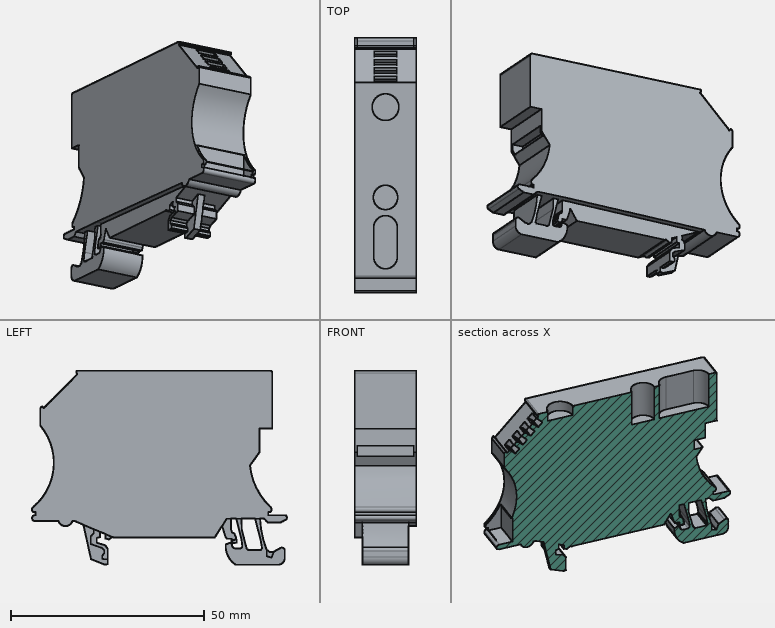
import cadquery as cq


WIDTH = 16.0
LENGTH = 65.96
HEIGHT = 50.25
HALF = WIDTH / 2

FRONT_Y = 3.8
STEP_Y = 7.1
STEP_Z = 35.25
REAR_Y = 63.85
EDGE_R = 0.6
REAR_EDGE_Y = 54.5
REAR_EDGE_R = 0.35
TONGUE_TOP_Z = 12.9
TONGUE_BOTTOM_Z = 10.9
FRONT_BASE_Z = 11.95
REAR_BASE_Z = 11.3
LIP_Z = 14.4
GROOVE_TOP_Z = 13.65
GROOVE_Y = 65.1
LOWER_LIP_R = (TONGUE_TOP_Z - REAR_BASE_Z) / 2
SLOPE_TOP = (54.2, 49.35)
SLOPE_FOOT = (62.95, 40.55)

SEAT_Z = 7.05
SEAT_RIGHT_X = 6.0
SEAT_FRONT_Y, SEAT_REAR_Y = 18.7, 44.8
SEAT_TOP_FRONT_Y, SEAT_TOP_REAR_Y = 15.6, 54.9

FOOT_HALF = 6.0
FOOT_WEB = 1.0
CLIP_HALF = 6.0
CLIP_RIB_HALF = 1.0
HOOK_STEP = 2.0
ROOT_Z = 12.6

SCREW_HOLE_Y, SCREW_HOLE_D, SCREW_HOLE_DEPTH = 48.0, 6.9, 2.8
PLUG_HOLE_Y, PLUG_HOLE_D = 24.65, 6.3
SLOT_FRONT_Y, SLOT_REAR_Y, SLOT_WIDTH = 6.2, 19.95, 6.1
PLUG_DEPTH = 10.0

VENT_COUNT = 4
VENT_PITCH = 3.05
VENT_LENGTH = 5.7
VENT_WIDTH = 1.9
VENT_DEPTH = 2.2
VENT_FLARE, VENT_FLARE_DEPTH = 0.3, 0.7
VENT_OFFSET = 0.05

LABEL_HALF = 7.25
LABEL_DEPTH = 3.0
LABEL_BOTTOM_Z, LABEL_TOP_Z = 28.15, 30.8
LABEL_NOTCH_Y, LABEL_NOTCH_TOP_Z = 61.5, 20.0


def prism(outline, x_from, x_to):
    """Extrude a (y, z) outline or wire sketch along X."""
    if isinstance(outline, list):
        outline = cq.Workplane("YZ").polyline(outline).close()
    return outline.extrude(x_to - x_from).translate((x_from, 0, 0))


def box(x_range, y_range, z_range):
    size = [high - low for low, high in (x_range, y_range, z_range)]
    corner = (x_range[0], y_range[0], z_range[0])
    return cq.Workplane("XY").box(*size, centered=False).translate(corner)


def housing():
    outline = (
        cq.Workplane("YZ")
        .moveTo(FRONT_Y + EDGE_R, HEIGHT)
        .lineTo(REAR_EDGE_Y - REAR_EDGE_R, HEIGHT)
        .radiusArc((REAR_EDGE_Y, HEIGHT - REAR_EDGE_R), REAR_EDGE_R)
        .lineTo(REAR_EDGE_Y, 49.65)
        .lineTo(*SLOPE_TOP)
        .lineTo(*SLOPE_FOOT)
        .lineTo(63.35, 41.05)
        .lineTo(REAR_Y, SLOPE_FOOT[1])
        .lineTo(REAR_Y, 36.05)
        .threePointArc((60.35, 27.1), (65.65, 14.95))
        .threePointArc((LENGTH, LIP_Z), (65.6, GROOVE_TOP_Z))
        .lineTo(GROOVE_Y, GROOVE_TOP_Z)
        .lineTo(GROOVE_Y, TONGUE_TOP_Z)
        .lineTo(LENGTH - LOWER_LIP_R, TONGUE_TOP_Z)
        .threePointArc((LENGTH, TONGUE_TOP_Z - LOWER_LIP_R), (LENGTH - LOWER_LIP_R, REAR_BASE_Z))
        .lineTo(59.1, REAR_BASE_Z)
        .threePointArc((57.2, 10.0), (55.5, REAR_BASE_Z))
        .lineTo(SEAT_TOP_REAR_Y, REAR_BASE_Z)
        .lineTo(SEAT_TOP_FRONT_Y, FRONT_BASE_Z)
        .lineTo(5.95, FRONT_BASE_Z)
        .lineTo(4.95, TONGUE_BOTTOM_Z)
        .lineTo(1.8, TONGUE_BOTTOM_Z)
        .lineTo(0.3, 11.65)
        .threePointArc((0, 12.25), (0.5, TONGUE_TOP_Z))
        .lineTo(4.85, TONGUE_TOP_Z)
        .lineTo(4.85, GROOVE_TOP_Z)
        .lineTo(4.35, GROOVE_TOP_Z)
        .threePointArc((4.0, LIP_Z), (4.35, 15.05))
        .threePointArc((7.8, 19.7), (9.55, 25.7))
        .lineTo(STEP_Y, 29.15)
        .lineTo(STEP_Y, STEP_Z)
        .lineTo(FRONT_Y, STEP_Z)
        .lineTo(FRONT_Y, HEIGHT - EDGE_R)
        .radiusArc((FRONT_Y + EDGE_R, HEIGHT), EDGE_R)
        .close()
    )
    return prism(outline, -HALF, HALF)


def rail_seat():
    outline = [
        (SEAT_TOP_REAR_Y, REAR_BASE_Z),
        (SEAT_REAR_Y, SEAT_Z),
        (SEAT_FRONT_Y, SEAT_Z),
        (SEAT_TOP_FRONT_Y, FRONT_BASE_Z),
        (SEAT_TOP_FRONT_Y, ROOT_Z),
        (SEAT_TOP_REAR_Y, ROOT_Z),
    ]
    return prism(outline, -HALF, SEAT_RIGHT_X)


def front_foot():
    """Sprung foot hanging on two slanted legs, with a groove closed by a web on the +X side."""
    outline = (
        cq.Workplane("YZ")
        .moveTo(13.25, 0)
        .threePointArc((15.0, 1.75), (15.9, 5.3))
        .lineTo(14.7, 5.75)
        .lineTo(14.2, 5.33)
        .threePointArc((14.0, 4.6), (13.5, 4.3))
        .lineTo(12.0, 4.3)
        .threePointArc((11.7, 4.5), (11.6, 4.9))
        .lineTo(11.8, 6.5)
        .lineTo(13.15, FRONT_BASE_Z)
        .lineTo(13.15, ROOT_Z)
        .lineTo(11.8, ROOT_Z)
        .lineTo(11.65, 9.0)
        .lineTo(10.45, 4.3)
        .lineTo(10.1, 3.9)
        .lineTo(6.8, 3.9)
        .lineTo(6.5, 4.3)
        .lineTo(6.87, 6.5)
        .lineTo(8.3, FRONT_BASE_Z)
        .lineTo(8.3, ROOT_Z)
        .lineTo(6.95, ROOT_Z)
        .lineTo(6.95, FRONT_BASE_Z)
        .threePointArc((6.5, 8.2), (5.3, 4.0))
        .lineTo(5.25, 2.25)
        .lineTo(4.05, 1.85)
        .lineTo(3.4, 3.45)
        .lineTo(1.8, 4.35)
        .threePointArc((0.95, 4.4), (0.55, 3.6))
        .lineTo(0.55, 2.1)
        .threePointArc((0.95, 0.7), (2.2, 0))
        .close()
    )
    web = [(5.3, 4.0), (5.25, 2.0), (4.05, 1.7), (3.4, 3.45), (4.4, 3.3)]
    foot = prism(outline, -FOOT_HALF, FOOT_HALF)
    return foot.union(prism(web, FOOT_HALF - FOOT_WEB, FOOT_HALF))


def front_hook():
    """Hook that carries the front edge of the rail, with a longer nose on its +X part."""
    hook = [
        (16.85, 10.1),
        (16.0, 7.4),
        (15.6, 6.7),
        (14.5, 6.75),
        (13.75, 6.35),
        (13.2, 6.7),
        (13.2, 7.2),
        (13.6, 8.15),
        (14.2, 8.4),
        (14.45, 9.15),
        (14.45, ROOT_Z),
        (16.85, ROOT_Z),
    ]
    nose = [(14.45, 6.8), (14.4, 6.1), (13.75, 5.6), (13.0, 5.75), (13.0, 6.4), (13.2, 6.8)]
    body = prism(hook, -FOOT_HALF, FOOT_HALF)
    return body.union(prism(nose, -FOOT_HALF + HOOK_STEP, FOOT_HALF))


def rear_clip():
    """Fixed rail clip: a bent strip stiffened behind by a narrower rib."""
    rail_side = [
        (46.3, 4.1),
        (47.0, 5.1),
        (49.15, 5.75),
        (49.15, 6.95),
        (48.35, 7.15),
        (48.35, REAR_BASE_Z),
    ]
    rib_side = [(52.7, REAR_BASE_Z), (52.7, 10.4), (50.7, 1.45), (47.05, 0), (46.3, 0.2)]
    strip_back = [
        (49.95, REAR_BASE_Z),
        (49.95, 8.2),
        (50.75, 7.4),
        (50.75, 5.4),
        (47.9, 4.4),
        (47.25, 3.8),
        (47.25, 3.05),
        (47.75, 2.4),
        (47.75, 1.6),
        (47.2, 1.4),
        (46.3, 1.4),
    ]
    nub = [(46.95, 8.2), (46.95, 6.8), (46.15, 6.55), (45.35, SEAT_Z), (44.8, SEAT_Z + 0.5)]
    strip = prism(rail_side + strip_back, -CLIP_HALF, CLIP_HALF)
    rib = prism(rail_side + rib_side, -CLIP_RIB_HALF, CLIP_RIB_HALF)
    return strip.union(rib).union(prism(nub, -CLIP_HALF, CLIP_HALF))


def top_openings():
    top = cq.Workplane("XY").workplane(offset=HEIGHT)
    slot_length = SLOT_REAR_Y - SLOT_FRONT_Y
    slot_middle = (SLOT_REAR_Y + SLOT_FRONT_Y) / 2
    screw_hole = top.center(0, SCREW_HOLE_Y).circle(SCREW_HOLE_D / 2).extrude(-SCREW_HOLE_DEPTH)
    plug_hole = top.center(0, PLUG_HOLE_Y).circle(PLUG_HOLE_D / 2).extrude(-PLUG_DEPTH)
    slot = top.center(0, slot_middle).slot2D(slot_length, SLOT_WIDTH, 90).extrude(-PLUG_DEPTH)
    return screw_hole.union(plug_hole).union(slot)


def slope_vents():
    """Row of louvre slots sunk square to the rear slope."""
    run = SLOPE_FOOT[0] - SLOPE_TOP[0]
    drop = SLOPE_TOP[1] - SLOPE_FOOT[1]
    middle = ((SLOPE_TOP[0] + SLOPE_FOOT[0]) / 2, (SLOPE_TOP[1] + SLOPE_FOOT[1]) / 2)
    half = VENT_WIDTH / 2
    plane = cq.Plane(origin=(-VENT_LENGTH / 2, *middle), xDir=(0, -run, drop), normal=(1, 0, 0))
    profile = [
        (-half, 0),
        (-half + VENT_FLARE, VENT_FLARE_DEPTH),
        (-half + VENT_FLARE, VENT_DEPTH),
        (half, VENT_DEPTH),
        (half, 0),
    ]
    vents = cq.Workplane(plane)
    for i in range(VENT_COUNT):
        shift = VENT_OFFSET + (i - (VENT_COUNT - 1) / 2) * VENT_PITCH
        vents = vents.polyline([(up + shift, into) for up, into in profile]).close()
    return vents.extrude(VENT_LENGTH)


def label_pockets():
    across = (-LABEL_HALF, LABEL_HALF)
    front = box(across, (FRONT_Y, STEP_Y + LABEL_DEPTH), (LABEL_BOTTOM_Z, LABEL_TOP_Z))
    rear = box(across, (LABEL_NOTCH_Y, LENGTH), (TONGUE_TOP_Z, LABEL_NOTCH_TOP_Z))
    return front.union(rear)


result = housing()
for added in (rail_seat(), front_foot(), front_hook(), rear_clip()):
    result = result.union(added)
for removed in (top_openings(), slope_vents(), label_pockets()):
    result = result.cut(removed)